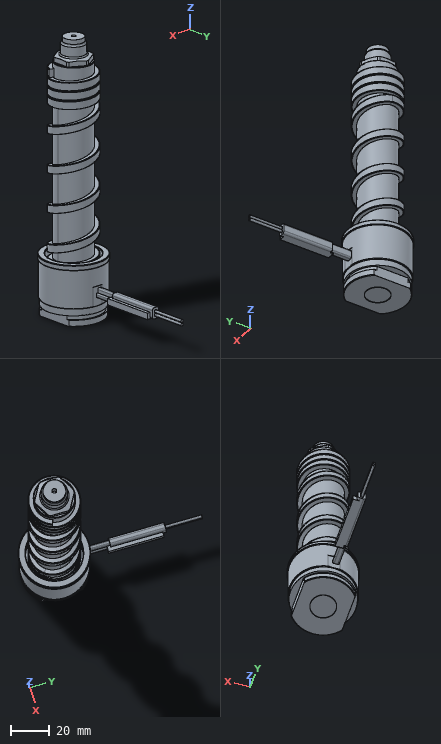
import cadquery as cq
import math

FOOT_BOTTOM = 0.3
FOOT_TOP = 4.0
FLANGE_BOTTOM = 6.5
BODY_BOTTOM = 10.3
COLLAR_BOTTOM = 31.9
COLLAR_TOP = 35.0
TUBE_TOP = 142.7
HEX_TOP = 145.3
FLARE_BOTTOM = 146.15
NOSE_BOTTOM = 146.9
NOSE_TOP = 152.4
TIP_BOTTOM = 153.3
TIP_TOP = 156.2

PAD_RADIUS = 7.0
FOOT_RADIUS = 18.0
NECK_RADIUS = 17.0
BODY_RADIUS = 18.55
COLLAR_RADIUS = 19.0
EDGE_BREAK = 0.4
WRENCH_FLAT_WIDTH = 28.0
RECESS_RADIUS = 15.1
RECESS_EDGE_BREAK = 0.3

TUBE_RADIUS = 11.05
HEX_ACROSS_FLATS = 19.2
HEX_ROUND_RADIUS = 10.7
FLARE_RADIUS = 7.7
NOSE_RADIUS = 7.0
SHOULDER_RADIUS = 6.4
TIP_RADIUS = 6.05
TIP_EDGE_BREAK = 0.35
TIP_HOLE_DIAMETER = 2.4
TIP_HOLE_DEPTH = 5.0

COIL_RADIUS = 13.9
COIL_EMBED = 0.15
COIL_EDGE_BREAK = 0.5
COIL_HEIGHT = 4.7
COIL_END_ANGLE = -21.0
COIL_END_Z = 137.15
CLOSED_PITCH = 5.25
EASING_PITCH = 10.0
SETTLING_PITCH = 12.5
OPEN_PITCH = 22.05
COIL_STAGES = [
    (3.19, CLOSED_PITCH),
    (0.25, EASING_PITCH),
    (3.614, OPEN_PITCH),
    (0.4, SETTLING_PITCH),
    (1.0, CLOSED_PITCH),
]

CABLE_Z = 17.6
CABLE_START = 17.0
CABLE_X = -1.45
CABLE_WIDTH = 2.6
CABLE_HEIGHT = 5.3
CABLE_ROUNDING = 0.8
REAR_CABLE_X = CABLE_X + 1.0
REAR_CABLE_HEIGHT = 2.6
REAR_CABLE_Z = CABLE_Z - (CABLE_HEIGHT - REAR_CABLE_HEIGHT) / 2
SLEEVE_START = 30.5
SLEEVE_LENGTH = 30.4
SLEEVE_WIDTH = 4.5
SLEEVE_HEIGHT = 6.4
SLEEVE_ROUNDING = 1.3
REAR_SLEEVE_X = 0.6
REAR_SLEEVE_SHIFT = -1.8
REAR_SLEEVE_HEIGHT = 3.7
WIRE_DIAMETER = 1.7
WIRE_SPACING = 2.0
WIRE_END = 81.0
CABLE_SEAT_Y = 18.25
CABLE_SEAT_TOP = 21.5


def cylinder(radius, bottom, top):
    return cq.Workplane("XY").workplane(offset=bottom).circle(radius).extrude(top - bottom)


def bar(x, z, width, height, start, end):
    """Rectangular bar running along +Y."""
    return cq.Workplane("XY").box(width, end - start, height).translate((x, (start + end) / 2, z))


def make_base():
    foot = cylinder(FOOT_RADIUS, FOOT_BOTTOM, FOOT_TOP).faces("<Z").chamfer(EDGE_BREAK)
    foot = foot.union(cylinder(NECK_RADIUS, FOOT_TOP, FLANGE_BOTTOM))
    flats = cq.Workplane("XY").box(WRENCH_FLAT_WIDTH, 2 * COLLAR_RADIUS, 2 * FLANGE_BOTTOM)
    foot = foot.intersect(flats)

    body = cylinder(BODY_RADIUS, BODY_BOTTOM, COLLAR_BOTTOM).faces("<Z").chamfer(EDGE_BREAK)
    seat_height = CABLE_SEAT_TOP - BODY_BOTTOM
    seat_z = (CABLE_SEAT_TOP + BODY_BOTTOM) / 2
    body = body.cut(bar(0, seat_z, 2 * COLLAR_RADIUS, seat_height, CABLE_SEAT_Y, COLLAR_RADIUS))

    collar = cylinder(COLLAR_RADIUS, COLLAR_BOTTOM, COLLAR_TOP).edges().chamfer(EDGE_BREAK)
    pad = cylinder(PAD_RADIUS, 0, FOOT_BOTTOM)
    flange = cylinder(FOOT_RADIUS, FLANGE_BOTTOM, BODY_BOTTOM)
    return pad.union(foot).union(flange).union(body).union(collar)


def make_recess(floor_z):
    """Pocket around the tube that holds the closed lower turn of the spring."""
    return (
        cq.Workplane("XZ")
        .moveTo(0, floor_z)
        .lineTo(RECESS_RADIUS, floor_z)
        .lineTo(RECESS_RADIUS, COLLAR_TOP - RECESS_EDGE_BREAK)
        .lineTo(RECESS_RADIUS + RECESS_EDGE_BREAK, COLLAR_TOP)
        .lineTo(0, COLLAR_TOP)
        .close()
        .revolve(360, (0, 0, 0), (0, 1, 0))
    )


def make_tube():
    return cylinder(TUBE_RADIUS, BODY_BOTTOM, TUBE_TOP).faces(">Z").chamfer(EDGE_BREAK)


def make_hex_fitting():
    """Chamfered hexagon with the round nose and tip above it; two flats face X."""
    hex_bottom = TUBE_TOP
    half_side_angle = 30
    corner_diameter = HEX_ACROSS_FLATS / math.cos(math.radians(half_side_angle))
    hexagon = (
        cq.Workplane("XY")
        .workplane(offset=hex_bottom)
        .polygon(6, corner_diameter)
        .extrude(TIP_TOP - hex_bottom)
        .rotate((0, 0, 0), (0, 0, 1), half_side_angle)
    )
    turned = (
        cq.Workplane("XZ")
        .moveTo(0, hex_bottom)
        .lineTo(HEX_ROUND_RADIUS, hex_bottom)
        .lineTo(HEX_ROUND_RADIUS, HEX_TOP)
        .lineTo(FLARE_RADIUS, FLARE_BOTTOM)
        .lineTo(NOSE_RADIUS, NOSE_BOTTOM)
        .lineTo(NOSE_RADIUS, NOSE_TOP)
        .lineTo(SHOULDER_RADIUS, TIP_BOTTOM)
        .lineTo(TIP_RADIUS, TIP_BOTTOM + TIP_EDGE_BREAK)
        .lineTo(TIP_RADIUS, TIP_TOP)
        .lineTo(0, TIP_TOP)
        .close()
        .revolve(360, (0, 0, 0), (0, 1, 0))
    )
    hole = cylinder(TIP_HOLE_DIAMETER / 2, TIP_TOP - TIP_HOLE_DEPTH, TIP_TOP)
    return turned.intersect(hexagon).cut(hole)


def make_coil_stage(turns, pitch, start_angle, start_z):
    """Strip rising right-handed from the given angle (degrees) and mid-height."""
    inner_radius = TUBE_RADIUS - COIL_EMBED
    path = cq.Wire.makeHelix(pitch, turns * pitch, COIL_RADIUS)
    half_height = COIL_HEIGHT / 2
    edge_radius = COIL_RADIUS - COIL_EDGE_BREAK
    edge_height = half_height - COIL_EDGE_BREAK / 2
    section = cq.Workplane("XZ").polyline(
        [
            (inner_radius, -half_height),
            (edge_radius, -half_height),
            (COIL_RADIUS, -edge_height),
            (COIL_RADIUS, edge_height),
            (edge_radius, half_height),
            (inner_radius, half_height),
        ]
    ).close()
    strip = section.sweep(cq.Workplane(path), isFrenet=True)
    return strip.rotate((0, 0, 0), (0, 0, 1), start_angle).translate((0, 0, start_z))


def make_coil_stages():
    """All stretches of the spring, and the mid-height of its lower end."""
    angle = COIL_END_ANGLE
    z = COIL_END_Z
    stages = []
    for turns, pitch in COIL_STAGES:
        angle -= 360 * turns
        z -= turns * pitch
        stages.append(make_coil_stage(turns, pitch, angle, z))
    return stages, z


def make_cables():
    cables = bar(CABLE_X, CABLE_Z, CABLE_WIDTH, CABLE_HEIGHT, CABLE_START, SLEEVE_START)
    cables = cables.edges("|Y").fillet(CABLE_ROUNDING)
    rear_start = SLEEVE_START + REAR_SLEEVE_SHIFT
    rear = bar(REAR_CABLE_X, REAR_CABLE_Z, CABLE_WIDTH, REAR_CABLE_HEIGHT, CABLE_START, rear_start)
    cables = cables.union(rear.edges("|Y").fillet(CABLE_ROUNDING))

    sleeve_end = SLEEVE_START + SLEEVE_LENGTH
    sleeve = bar(CABLE_X, CABLE_Z, SLEEVE_WIDTH, SLEEVE_HEIGHT, SLEEVE_START, sleeve_end)
    sleeve = sleeve.edges("|Y").fillet(SLEEVE_ROUNDING)
    rear_end = rear_start + SLEEVE_LENGTH
    rear_sleeve_z = CABLE_Z - (SLEEVE_HEIGHT - REAR_SLEEVE_HEIGHT) / 2
    rear_sleeve = bar(
        REAR_SLEEVE_X, rear_sleeve_z, SLEEVE_WIDTH, REAR_SLEEVE_HEIGHT, rear_start, rear_end
    )
    cables = cables.union(sleeve).union(rear_sleeve)

    for side in (-1, 1):
        wire = (
            cq.Workplane("XZ", origin=(CABLE_X, SLEEVE_START, CABLE_Z + side * WIRE_SPACING / 2))
            .circle(WIRE_DIAMETER / 2)
            .extrude(SLEEVE_START - WIRE_END)
        )
        cables = cables.union(wire)
    return cables


coil_stages, coil_bottom_z = make_coil_stages()

result = make_base().cut(make_recess(coil_bottom_z)).union(make_tube()).union(make_hex_fitting())
for stage in coil_stages:
    result = result.union(stage)
result = result.union(make_cables())